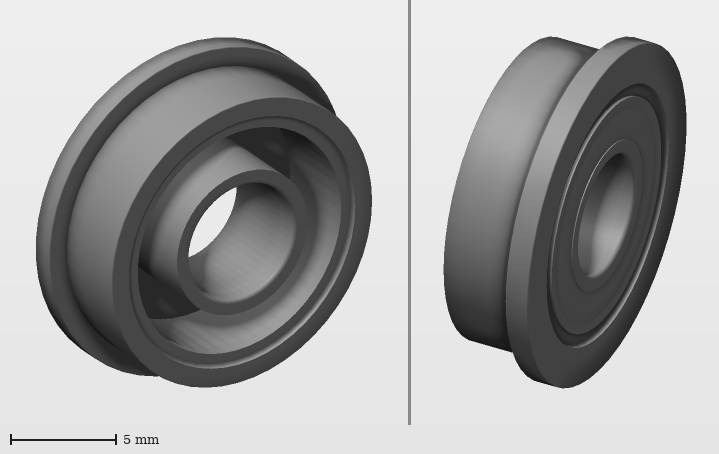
import cadquery as cq

WIDTH = 5.0
FLANGE_DIAMETER = 17.0
FLANGE_WIDTH = 1.2
BODY_DIAMETER = 15.0
BORE_DIAMETER = 6.0
FRONT_FACE = -WIDTH / 2
RADIUS_TOLERANCE = 0.002

MOUTH_DIAMETER = 13.0
MOUTH_DEPTH = 0.24
MOUTH_ROUND = 0.19
OUTER_EDGE_ROUND = 0.07

INNER_RING_DIAMETER = 7.5
BORE_ROUND = 0.2

SHIELD_DIAMETER = 11.7
SHIELD_RECESS = 0.05
SHIELD_THICKNESS = 0.4
GROOVE_BOTTOM_DIAMETER = 10.65
GROOVE_INNER_DIAMETER = 9.62
GROOVE_DEPTH = 0.03


def disc(diameter, start, length):
    """Solid disc along X, beginning at X = start."""
    return cq.Workplane("YZ", origin=(start, 0, 0)).circle(diameter / 2).extrude(length)


def tube(outer_diameter, inner_diameter, start, length):
    """Plain tube along X, beginning at X = start."""
    return disc(outer_diameter, start, length).cut(disc(inner_diameter, start, length))


def round_edges(ring, diameter, radius):
    """Round every circular edge of the given diameter."""
    edges = [
        edge for edge in ring.edges("%CIRCLE").vals()
        if abs(edge.radius() - diameter / 2) < RADIUS_TOLERANCE
    ]
    return ring.newObject(edges).fillet(radius)


def make_outer_ring():
    """Flanged ring with a shallow, round-cornered recess at each end."""
    ring = tube(BODY_DIAMETER, SHIELD_DIAMETER, FRONT_FACE, WIDTH)
    ring = ring.union(tube(FLANGE_DIAMETER, SHIELD_DIAMETER, FRONT_FACE, FLANGE_WIDTH))
    front_plug = disc(MOUTH_DIAMETER, FRONT_FACE, MOUTH_DEPTH).edges(">X").fillet(MOUTH_ROUND)
    back_plug = front_plug.mirror("YZ")
    ring = ring.cut(front_plug).cut(back_plug)
    ring = round_edges(ring, FLANGE_DIAMETER, OUTER_EDGE_ROUND)
    return ring.faces(">X").edges(cq.selectors.RadiusNthSelector(-1)).fillet(OUTER_EDGE_ROUND)


def make_inner_ring():
    """Sleeve with both ends of its bore rounded."""
    ring = tube(INNER_RING_DIAMETER, BORE_DIAMETER, FRONT_FACE, WIDTH)
    return round_edges(ring, BORE_DIAMETER, BORE_ROUND)


def make_shield():
    """Washer with a shallow V groove around the rim of its front face."""
    front = FRONT_FACE + SHIELD_RECESS
    back = front + SHIELD_THICKNESS
    profile = [
        (back, INNER_RING_DIAMETER / 2),
        (front, INNER_RING_DIAMETER / 2),
        (front, GROOVE_INNER_DIAMETER / 2),
        (front + GROOVE_DEPTH, GROOVE_BOTTOM_DIAMETER / 2),
        (front, SHIELD_DIAMETER / 2),
        (back, SHIELD_DIAMETER / 2),
    ]
    return cq.Workplane("XY").polyline(profile).close().revolve(360, (0, 0, 0), (1, 0, 0))


outer_ring = make_outer_ring()
inner_ring = make_inner_ring()
shield = make_shield()

result = cq.Compound.makeCompound([outer_ring.val(), inner_ring.val(), shield.val()])